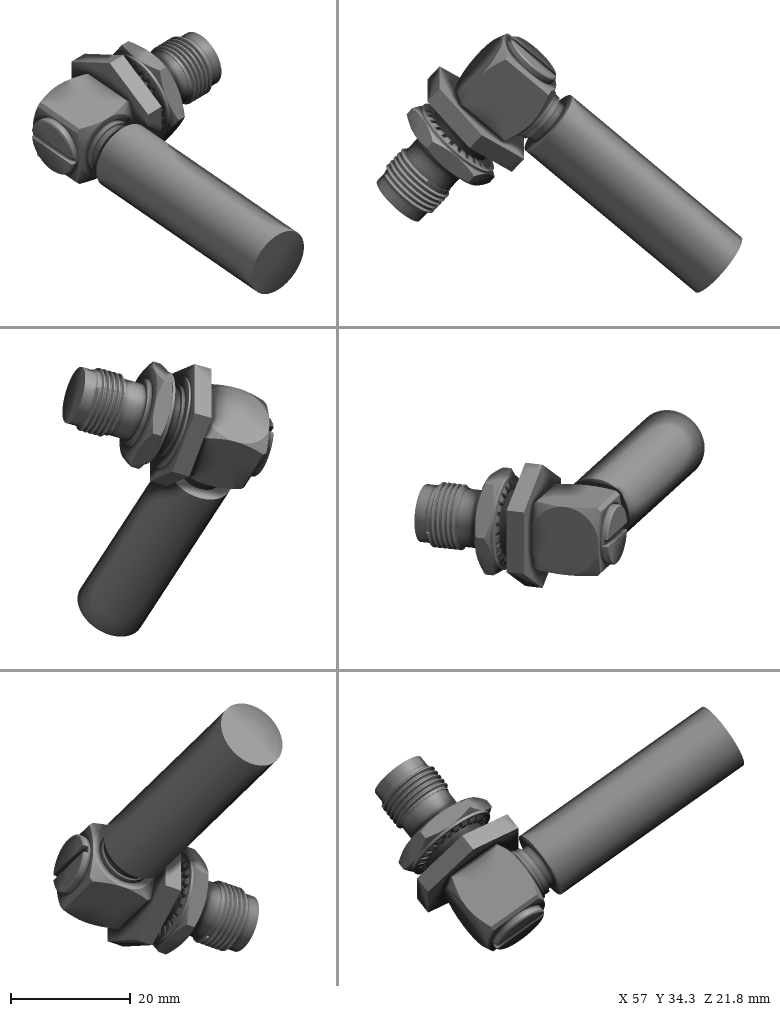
import cadquery as cq
import math


BODY_SIZE = 12.0
BODY_HALF = BODY_SIZE / 2
BODY_EDGE_BEVEL = 0.6
BODY_CONE_ANGLE = 30.0

CAP_RADIUS = 5.08
CAP_HEIGHT = 1.3
CAP_CHAMFER = 0.25
SLOT_WIDTH = 1.27
SLOT_DEPTH = 0.95

CABLE_STEPS = [(4.82, 6.95), (4.48, 8.05), (3.97, 9.55)]
SLEEVE_RADIUS = BODY_HALF
CABLE_END = 47.595

HEX_HALF_ANGLE = 30.0

FLANGE_ACROSS_CORNERS = 21.77
FLANGE_THICKNESS = 3.07

GASKET_RADIUS = 7.95
GASKET_TOP = 9.42
SHOULDER_RADIUS = 6.33
SHOULDER_TOP = 10.0
STEM_RADIUS = 5.66
STEM_TOP = 15.97
BARREL_RADIUS = 4.88
BARREL_TIP = 27.0

NUT_ACROSS_FLATS = 16.0
NUT_BOTTOM = 12.4
NUT_TOP = 15.3
NUT_CONE_ANGLE = 30.0
NUT_FACE_RADIUS = 7.95
COLLAR_RADIUS = 6.0
COLLAR_TOP = 15.8
WASHER_RADIUS = 8.0
WASHER_BOTTOM = 11.95
TOOTH_COUNT = 24
TOOTH_ROOT_RADIUS = 7.25
TOOTH_TIP_RADIUS = 6.5
TOOTH_BOTTOM = 11.55
TOOTH_GAP_WIDTH = 0.7

INCH = 25.4
THREADS_PER_INCH = 28
THREAD_PITCH = INCH / THREADS_PER_INCH
THREAD_CREST_RADIUS = 5.52
THREAD_START = 19.9
THREAD_TURNS = 5.2
THREAD_ROOT_WIDTH = 0.7
THREAD_CREST_WIDTH = 0.15
THREAD_OVERLAP = 0.1
CORE_RADIUS = 5.05
CORE_BOTTOM = 19.6
CORE_TOP = 25.0
CORE_TAPER = 0.25


def along_y(shape):
    """Turn a shape built along +Z so that it lies along +Y."""
    return shape.rotate((0, 0, 0), (1, 0, 0), -90)


def along_x(shape):
    """Turn a shape built along +Z so that it lies along +X."""
    return shape.rotate((0, 0, 0), (0, 1, 0), 90)


def disc(radius, bottom, top):
    return cq.Workplane("XY").workplane(offset=bottom).circle(radius).extrude(top - bottom)


def cone(bottom_radius, top_radius, bottom, top):
    profile = [(0, bottom), (bottom_radius, bottom), (top_radius, top), (0, top)]
    return cq.Workplane("XZ").polyline(profile).close().revolve(360, (0, 0, 0), (0, 1, 0))


def coned_bar(face_radius, max_radius, bottom, top, angle):
    """Round bar with both ends bevelled from face_radius out to max_radius."""
    drop = (max_radius - face_radius) * math.tan(math.radians(angle))
    profile = [
        (0, bottom),
        (face_radius, bottom),
        (max_radius, bottom + drop),
        (max_radius, top - drop),
        (face_radius, top),
        (0, top),
    ]
    return cq.Workplane("XZ").polyline(profile).close().revolve(360, (0, 0, 0), (0, 1, 0))


def make_body():
    cube = cq.Workplane("XY").box(BODY_SIZE, BODY_SIZE, BODY_SIZE)
    cube = cube.edges("|X").chamfer(BODY_EDGE_BEVEL)
    corner_radius = BODY_SIZE / math.sqrt(2)
    bevel = coned_bar(BODY_HALF, corner_radius, -BODY_HALF, BODY_HALF, BODY_CONE_ANGLE)
    return cube.intersect(along_x(bevel))


def make_cap():
    end = BODY_HALF + CAP_HEIGHT
    cap = disc(CAP_RADIUS, 0, end).faces(">Z").chamfer(CAP_CHAMFER)
    slot = cq.Workplane("XY").box(2 * CAP_RADIUS, SLOT_WIDTH, 2 * SLOT_DEPTH)
    cap = cap.cut(slot.translate((0, 0, end)))
    return cap.rotate((0, 0, 0), (1, 0, 0), 90)


def make_cable_side():
    cable = disc(SLEEVE_RADIUS, CABLE_STEPS[-1][1], CABLE_END)
    for radius, end in CABLE_STEPS:
        cable = cable.union(disc(radius, 0, end))
    return along_x(cable)


def make_flange():
    flange = cq.Workplane("XY").polygon(6, FLANGE_ACROSS_CORNERS).extrude(FLANGE_THICKNESS)
    flange = flange.rotate((0, 0, 0), (0, 0, 1), HEX_HALF_ANGLE)
    return along_y(flange.translate((0, 0, BODY_HALF)))


def make_barrel():
    barrel = disc(GASKET_RADIUS, BODY_HALF, GASKET_TOP)
    barrel = barrel.union(disc(SHOULDER_RADIUS, BODY_HALF, SHOULDER_TOP))
    barrel = barrel.union(disc(STEM_RADIUS, BODY_HALF, STEM_TOP))
    barrel = barrel.union(disc(BARREL_RADIUS, BODY_HALF, BARREL_TIP))
    taper_start = CORE_TOP - CORE_TAPER
    barrel = barrel.union(disc(CORE_RADIUS, CORE_BOTTOM, taper_start))
    barrel = barrel.union(cone(CORE_RADIUS, BARREL_RADIUS, taper_start, CORE_TOP))
    return along_y(barrel)


def make_nut():
    corners = NUT_ACROSS_FLATS / math.cos(math.radians(HEX_HALF_ANGLE))
    nut = cq.Workplane("XY").workplane(offset=NUT_BOTTOM).polygon(6, corners)
    nut = nut.extrude(NUT_TOP - NUT_BOTTOM)
    nut = nut.intersect(coned_bar(NUT_FACE_RADIUS, corners / 2, NUT_BOTTOM, NUT_TOP, NUT_CONE_ANGLE))
    collar = cone(COLLAR_RADIUS, STEM_RADIUS, NUT_TOP, COLLAR_TOP)
    return along_y(nut.union(collar))


def make_washer():
    """Flat ring with a tapered crown of teeth toward the flange."""
    washer = disc(WASHER_RADIUS, WASHER_BOTTOM, NUT_BOTTOM)
    crown = cone(TOOTH_TIP_RADIUS, TOOTH_ROOT_RADIUS, TOOTH_BOTTOM, WASHER_BOTTOM)
    gap_length = WASHER_RADIUS - STEM_RADIUS
    gap_center = (WASHER_RADIUS + STEM_RADIUS) / 2
    gaps = (
        cq.Workplane("XY")
        .workplane(offset=TOOTH_BOTTOM)
        .polarArray(gap_center, 0, 360, TOOTH_COUNT)
        .rect(gap_length, TOOTH_GAP_WIDTH)
        .extrude(WASHER_BOTTOM - TOOTH_BOTTOM)
    )
    return along_y(washer.union(crown.cut(gaps)))


def make_thread():
    """Helical ridge that starts on the -Z side and advances toward the barrel tip."""
    inner = CORE_RADIUS - THREAD_OVERLAP
    path = cq.Wire.makeHelix(THREAD_PITCH, THREAD_PITCH * THREAD_TURNS, inner)
    profile = [
        (inner, -THREAD_ROOT_WIDTH / 2),
        (THREAD_CREST_RADIUS, -THREAD_CREST_WIDTH / 2),
        (THREAD_CREST_RADIUS, THREAD_CREST_WIDTH / 2),
        (inner, THREAD_ROOT_WIDTH / 2),
    ]
    ridge = cq.Workplane("XZ").polyline(profile).close().sweep(cq.Workplane(path), isFrenet=True)
    ridge = ridge.rotate((0, 0, 0), (0, 0, 1), 90)
    return along_y(ridge.translate((0, 0, THREAD_START)))


result = (
    make_body()
    .union(make_cap())
    .union(make_cable_side())
    .union(make_flange())
    .union(make_barrel())
    .union(make_nut())
    .union(make_washer())
    .union(make_thread())
)